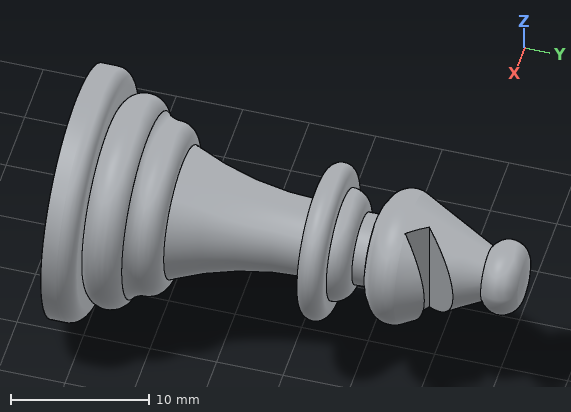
import cadquery as cq
import math


foot_radius = 9.5
foot_edge_round = 1.2
foot_height = 2.4

lower_bead_height = 3.0
lower_bead_end_radius = 7.0
lower_bead_radius = 8.0
upper_bead_round = 1.5
upper_bead_radius = 6.5
hollow_height = 1.1

stem_bottom_radius = upper_bead_radius - upper_bead_round
stem_top_radius = 2.85
stem_height = 10.0

ring_radius = 5.87
ring_round = 1.0
collar_round = 1.5
neck_radius = 2.7
neck_height = 1.0

underside_rise = 0.47
head_radius = 5.04
head_round = 1.8
head_widest_rise = 2.1
cone_start_rise = 2.8
cone_top_radius = 2.05
cone_height = 5.7

knob_round = 1.5
knob_radius = 2.8
knob_cap_radius = 1.8
total_height = 33.96

slot_width = 2.0
slot_angle = 45.0
slot_corner_x = 1.92
slot_length = 8.0
slot_span = 4 * head_radius

upper_bead_center = foot_height + lower_bead_height + hollow_height
stem_bottom = upper_bead_center + upper_bead_round
stem_top = stem_bottom + stem_height
ring_top = stem_top + 2 * ring_round
collar_top = ring_top + collar_round
head_bottom = collar_top + neck_height
head_widest = head_bottom + head_widest_rise
cone_bottom = head_bottom + cone_start_rise
cone_top = cone_bottom + cone_height


def on_circle(center, radius, degrees):
    """Point of a circle at the given angle from the outward radial direction."""
    angle = math.radians(degrees)
    return (center[0] + radius * math.cos(angle), center[1] + radius * math.sin(angle))


def angle_at_height(center, radius, height):
    """Angle of the outer point of a circle at the given height."""
    return math.degrees(math.asin((height - center[1]) / radius))


def angle_at_radius(center, radius, distance):
    """Angle of the upper point of a circle at the given distance from the axis."""
    return math.degrees(math.acos((distance - center[0]) / radius))


def arc_to(profile, center, radius, start, end):
    """Continue the profile along a circle from its start angle to its end angle."""
    middle = on_circle(center, radius, (start + end) / 2)
    return profile.threePointArc(middle, on_circle(center, radius, end))


def add_foot(profile):
    """Flat-bottomed disc with a rounded upper edge."""
    center = (foot_radius - foot_edge_round, foot_height - foot_edge_round)
    profile = profile.lineTo(foot_radius, 0).lineTo(foot_radius, center[1])
    return arc_to(profile, center, foot_edge_round, 0, 90)


def add_beads(profile):
    """Bulging lower bead, hollow, and quarter-round upper bead."""
    rise = lower_bead_height / 2
    bulge = lower_bead_radius - lower_bead_end_radius
    bead_round = (bulge**2 + rise**2) / (2 * bulge)
    lower = (lower_bead_radius - bead_round, foot_height + rise)
    bead_sweep = math.degrees(math.asin(rise / bead_round))
    profile = profile.lineTo(lower_bead_end_radius, foot_height)
    profile = arc_to(profile, lower, bead_round, -bead_sweep, bead_sweep)
    narrowing = lower_bead_end_radius - upper_bead_radius
    hollow_round = (narrowing**2 + hollow_height**2) / (2 * narrowing)
    hollow = (upper_bead_radius + hollow_round, upper_bead_center)
    hollow_sweep = math.degrees(math.asin(hollow_height / hollow_round))
    profile = arc_to(profile, hollow, hollow_round, 180 + hollow_sweep, 180)
    upper = (upper_bead_radius - upper_bead_round, upper_bead_center)
    return arc_to(profile, upper, upper_bead_round, 0, 90)


def add_stem(profile):
    """Slender stem flaring out towards the beads."""
    flare = stem_bottom_radius - stem_top_radius
    flare_round = (stem_height**2 + flare**2) / (2 * flare)
    center = (stem_top_radius + flare_round, stem_top)
    sweep = math.degrees(math.asin(stem_height / flare_round))
    return arc_to(profile, center, flare_round, 180 + sweep, 180)


def add_ring_and_neck(profile):
    """Half-round ring, quarter-round collar and cylindrical neck."""
    ring = (ring_radius - ring_round, stem_top + ring_round)
    collar = (neck_radius, ring_top)
    profile = profile.lineTo(ring[0], stem_top)
    profile = arc_to(profile, ring, ring_round, -90, 90)
    profile = profile.lineTo(neck_radius + collar_round, ring_top)
    profile = arc_to(profile, collar, collar_round, 0, 90)
    return profile.lineTo(neck_radius, head_bottom)


def add_head(profile):
    """Domed underside, rounded rim and cone."""
    center = (head_radius - head_round, head_widest)
    start = angle_at_height(center, head_round, head_bottom + underside_rise)
    end = angle_at_height(center, head_round, cone_bottom)
    spread = on_circle(center, head_round, start)[0] - neck_radius
    underside_round = (spread**2 + underside_rise**2) / (2 * underside_rise)
    underside = (neck_radius, head_bottom + underside_round)
    underside_sweep = math.degrees(math.asin(spread / underside_round))
    profile = arc_to(profile, underside, underside_round, -90, underside_sweep - 90)
    profile = arc_to(profile, center, head_round, start, end)
    return profile.lineTo(cone_top_radius, cone_top)


def add_knob(profile):
    """Rounded knob closed by a shallow cap."""
    center_radius = knob_radius - knob_round
    drop = math.sqrt(knob_round**2 - (cone_top_radius - center_radius) ** 2)
    center = (center_radius, cone_top + drop)
    start = angle_at_height(center, knob_round, cone_top)
    end = angle_at_radius(center, knob_round, knob_cap_radius)
    profile = arc_to(profile, center, knob_round, start, end)
    cap_edge = on_circle(center, knob_round, end)
    cap_rise = total_height - cap_edge[1]
    cap_round = (cap_edge[0] ** 2 + cap_rise**2) / (2 * cap_rise)
    cap_center = (0, total_height - cap_round)
    cap_start = angle_at_height(cap_center, cap_round, cap_edge[1])
    return arc_to(profile, cap_center, cap_round, cap_start, 90)


def make_body():
    profile = cq.Workplane("XY").moveTo(0, 0)
    for add_section in (add_foot, add_beads, add_stem, add_ring_and_neck, add_head, add_knob):
        profile = add_section(profile)
    return profile.close().revolve(360, (0, 0, 0), (0, 1, 0))


def make_slot():
    """Cutter with its lower inner corner level with the cone bottom, running out towards +X +Y."""
    return (
        cq.Workplane("XY")
        .box(slot_length, slot_width, slot_span, centered=(False, False, True))
        .rotate((0, 0, 0), (0, 0, 1), slot_angle)
        .translate((slot_corner_x, cone_bottom, 0))
    )


result = make_body().cut(make_slot())